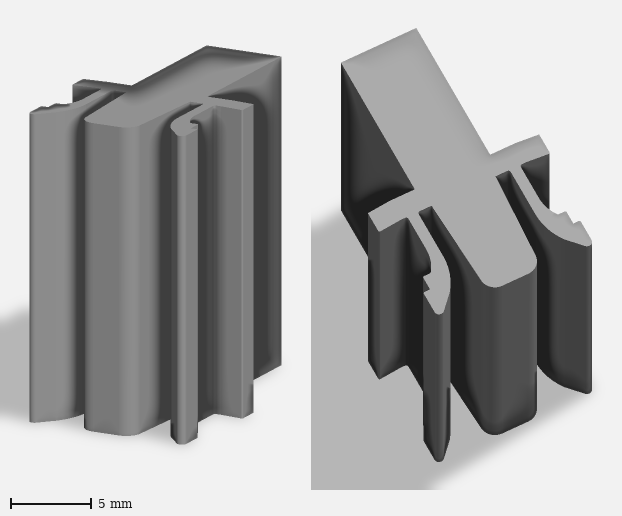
import cadquery as cq
import math

height = 20.0
depth = 18.5
block_half_width = 2.65

flange_half_width = 6.0
flange_flat_half_width = 4.4
flange_top = 8.5
flange_thickness = 1.5
flange_end_droop = 0.15
flange_corner_radius = 0.1

tongue_root_half_width = 2.25
tongue_tip_half_width = 1.85
tongue_corner_radius = 1.0

arm_inner_x = 3.22
arm_outer_x = 3.95
arm_root_radius = 0.15
inner_bend_y = 3.5
inner_bend_radius = 4.0
inner_bend_angle = math.radians(37)
outer_bend_y = 4.4
outer_bend_radius = 2.6
upper_step_x = 5.02
upper_step_y = 2.85
lower_step_x = 5.5
lower_step_y = 1.85
tip_x = 5.05
step_corner_radius = 0.1
tip_corner_radius = 0.3

flange_underside = flange_top - flange_thickness
root_y = flange_top - flange_thickness / 2


def bend_point(start_x, start_y, radius, angle):
    """Point on an arm bend that starts vertical and curls outward."""
    return (start_x + radius * (1 - math.cos(angle)), start_y - radius * math.sin(angle))


def make_block():
    length = depth - root_y
    return (
        cq.Workplane("XY")
        .center(0, root_y + length / 2)
        .rect(2 * block_half_width, length)
        .extrude(height)
    )


def make_flange():
    top_end_y = flange_top - flange_end_droop
    bottom_end_y = flange_underside - flange_end_droop
    flange = (
        cq.Workplane("XY")
        .polyline([
            (-flange_half_width, top_end_y),
            (-flange_flat_half_width, flange_top),
            (flange_flat_half_width, flange_top),
            (flange_half_width, top_end_y),
            (flange_half_width, bottom_end_y),
            (flange_flat_half_width, flange_underside),
            (-flange_flat_half_width, flange_underside),
            (-flange_half_width, bottom_end_y),
        ])
        .close()
        .extrude(height)
    )
    return flange.edges("|Z and <Y").fillet(flange_corner_radius)


def make_tongue():
    tongue = (
        cq.Workplane("XY")
        .polyline([
            (-tongue_root_half_width, root_y),
            (-tongue_root_half_width, flange_underside),
            (-tongue_tip_half_width, 0),
            (tongue_tip_half_width, 0),
            (tongue_root_half_width, flange_underside),
            (tongue_root_half_width, root_y),
        ])
        .close()
        .extrude(height)
    )
    return tongue.edges("|Z and <Y").fillet(tongue_corner_radius)


def make_arm():
    outer_angle = math.asin((outer_bend_y - upper_step_y) / outer_bend_radius)
    outer_mid = bend_point(arm_outer_x, outer_bend_y, outer_bend_radius, outer_angle / 2)
    outer_end = bend_point(arm_outer_x, outer_bend_y, outer_bend_radius, outer_angle)
    inner_mid = bend_point(arm_inner_x, inner_bend_y, inner_bend_radius, inner_bend_angle / 2)
    inner_end = bend_point(arm_inner_x, inner_bend_y, inner_bend_radius, inner_bend_angle)
    arm = (
        cq.Workplane("XY")
        .moveTo(arm_outer_x, root_y)
        .lineTo(arm_outer_x, outer_bend_y)
        .threePointArc(outer_mid, outer_end)
        .lineTo(upper_step_x, upper_step_y)
        .lineTo(upper_step_x, lower_step_y)
        .lineTo(lower_step_x, lower_step_y)
        .lineTo(lower_step_x, 0)
        .lineTo(tip_x, 0)
        .lineTo(*inner_end)
        .threePointArc(inner_mid, (arm_inner_x, inner_bend_y))
        .lineTo(arm_inner_x, root_y)
        .close()
        .extrude(height)
    )

    def round_corner(body, corner, radius):
        nearest = cq.selectors.NearestToPointSelector((*corner, height / 2))
        return body.edges("|Z").edges(nearest).fillet(radius)

    arm = round_corner(arm, (upper_step_x, upper_step_y), step_corner_radius)
    arm = round_corner(arm, (lower_step_x, lower_step_y), step_corner_radius)
    arm = round_corner(arm, (lower_step_x, 0), tip_corner_radius)
    return round_corner(arm, (tip_x, 0), tip_corner_radius)


def round_arm_roots(body):
    for side in (-1, 1):
        for root_x in (arm_inner_x, arm_outer_x):
            corner = (side * root_x, flange_underside, height / 2)
            nearest = cq.selectors.NearestToPointSelector(corner)
            body = body.edges("|Z").edges(nearest).fillet(arm_root_radius)
    return body


arm = make_arm()
section = make_flange().union(make_block()).union(make_tongue()).union(arm).union(arm.mirror("YZ"))
result = round_arm_roots(section)